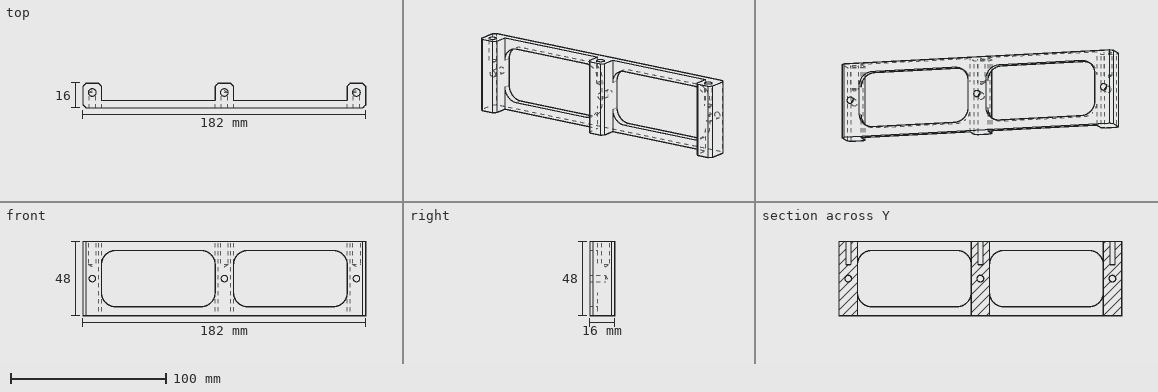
import cadquery as cq
import math

LENGTH = 182.0
DEPTH = 16.0
HEIGHT = 48.0

PLATE_THICKNESS = 5.0
EDGE_MARGIN = 6.0
POST_WIDTH = 2 * EDGE_MARGIN
CHAMFER = 2.0

WINDOW_HEIGHT = HEIGHT - 2 * EDGE_MARGIN
WINDOW_RADIUS = 9.0

FRONT_HOLE_DIAMETER = 4.2
FRONT_HOLE_DEPTH = 10.0
TOP_HOLE_DIAMETER = 5.0
TOP_HOLE_DEPTH = 15.0
DRILL_POINT_ANGLE = 118.0

POST_PITCH = LENGTH / 2 - EDGE_MARGIN
WINDOW_WIDTH = POST_PITCH - POST_WIDTH
POST_CENTERS = (-POST_PITCH, 0, POST_PITCH)
TOP_HOLE_Y = DEPTH - EDGE_MARGIN


def make_plate():
    """Upright plate with its front face at Y = 0 and its outer front edges chamfered."""
    plate = cq.Workplane("XY").box(LENGTH, PLATE_THICKNESS, HEIGHT, centered=(True, False, True))
    return plate.faces("<Y").edges("|Z").chamfer(CHAMFER)


def make_post(x):
    """Full-height post behind the plate with its rear edges chamfered."""
    post_depth = DEPTH - CHAMFER
    post = cq.Workplane("XY").box(POST_WIDTH, post_depth, HEIGHT, centered=(True, False, True))
    post = post.faces(">Y").edges("|Z").chamfer(CHAMFER)
    return post.translate((x, CHAMFER, 0))


def make_window(x):
    """Rounded cutter passing through the plate."""
    window = cq.Workplane("XY").box(
        WINDOW_WIDTH, PLATE_THICKNESS, WINDOW_HEIGHT, centered=(True, False, True)
    )
    return window.edges("|Y").fillet(WINDOW_RADIUS).translate((x, 0, 0))


def make_drill(diameter, depth, start, direction):
    """Cylinder with a conical drill point, running from start along direction."""
    radius = diameter / 2
    tip = radius / math.tan(math.radians(DRILL_POINT_ANGLE / 2))
    outline = [(0, 0), (radius, 0), (radius, depth), (0, depth + tip)]
    drill = cq.Workplane("XY").polyline(outline).close().revolve(360, (0, 0, 0), (0, 1, 0))
    plane_normal = cq.Vector(1, 0, 0).cross(cq.Vector(direction))
    axis_plane = cq.Plane(origin=start, xDir=(1, 0, 0), normal=plane_normal)
    return cq.Workplane(drill.val().moved(cq.Location(axis_plane)))


result = make_plate()
for post_x in POST_CENTERS:
    result = result.union(make_post(post_x))

for window_x in (-POST_PITCH / 2, POST_PITCH / 2):
    result = result.cut(make_window(window_x))

for hole_x in POST_CENTERS:
    front_start = (hole_x, 0, 0)
    top_start = (hole_x, TOP_HOLE_Y, HEIGHT / 2)
    result = result.cut(make_drill(FRONT_HOLE_DIAMETER, FRONT_HOLE_DEPTH, front_start, (0, 1, 0)))
    result = result.cut(make_drill(TOP_HOLE_DIAMETER, TOP_HOLE_DEPTH, top_start, (0, 0, -1)))